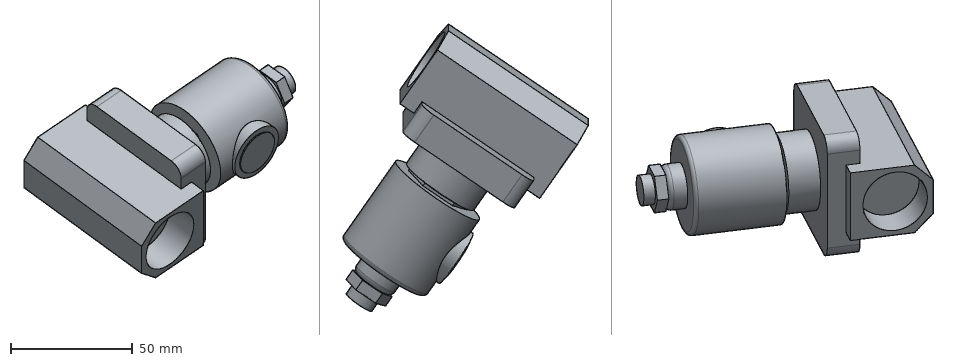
import cadquery as cq
import math

block_length = 70.0
block_depth = 35.3
block_height = 31.8
block_bevel = 8.0
port_diameter = 27.4
port_depth = 14.0
port_center_y = 16.2

flange_side = 56.0
flange_front_y = 29.4
flange_back_y = 43.3
flange_corner_radius = 5.9
neck_diameter = 34.0
neck_back_y = 56.9

gap = 0.3
collar_flats = 25.4
coil_front_y = 58.8
coil_back_y = 98.0
coil_diameter = 42.2
coil_fillet = 1.7
cap_diameter = 19.2
cap_back_y = 106.2
cap_fillet = 2.3
nut_flats = 17.2
nut_back_y = 111.0
stem_diameter = 12.9
overall_depth = 115.9

boss_center_y = 78.0
boss_diameter = 25.0
boss_face_x = 22.5
boss_rim_diameter = 19.5
boss_rim_x = 23.1


def plane_facing_back(y):
    """Workplane at depth y, with local X along X, extruding toward +Y."""
    return cq.Workplane(cq.Plane(origin=(0, y, 0), xDir=(1, 0, 0), normal=(0, 1, 0)))


def cylinder_along_y(diameter, front_y, back_y):
    return plane_facing_back(front_y).circle(diameter / 2).extrude(back_y - front_y)


def hexagon_along_y(flats, front_y, back_y):
    """Hexagonal prism with corners on +X and -X and flats on top and bottom."""
    corner_diameter = flats / math.cos(math.pi / 6)
    return plane_facing_back(front_y).polygon(6, corner_diameter).extrude(back_y - front_y)


def cylinder_along_x(diameter, end_x, y):
    """Cylinder from the X = 0 plane out to end_x."""
    return cq.Workplane("YZ").center(y, 0).circle(diameter / 2).extrude(end_x)


def make_block():
    blank = cq.Workplane("XY").box(block_length, block_depth, block_height, centered=(True, False, True))
    return blank.faces("<Y").edges("|X").chamfer(block_bevel)


def make_port(side):
    """Blind port bore, entering from the -X end (side -1) or the +X end (side 1)."""
    return (
        cq.Workplane("YZ", origin=(side * block_length / 2, port_center_y, 0))
        .circle(port_diameter / 2)
        .extrude(-side * port_depth)
    )


def make_valve_body():
    flange = (
        plane_facing_back(flange_front_y)
        .rect(flange_side, flange_side)
        .extrude(flange_back_y - flange_front_y)
        .edges("|Y")
        .fillet(flange_corner_radius)
    )
    neck = cylinder_along_y(neck_diameter, flange_back_y, neck_back_y)
    body = make_block().union(flange).union(neck)
    for side in (-1, 1):
        body = body.cut(make_port(side))
    return body


def make_solenoid():
    collar = hexagon_along_y(collar_flats, neck_back_y + gap, coil_front_y)
    coil = cylinder_along_y(coil_diameter, coil_front_y, coil_back_y).faces(">Y").edges().fillet(coil_fillet)
    cap = cylinder_along_y(cap_diameter, coil_back_y, cap_back_y).faces(">Y").edges().fillet(cap_fillet)
    nut = hexagon_along_y(nut_flats, cap_back_y, nut_back_y)
    stem = cylinder_along_y(stem_diameter, nut_back_y, overall_depth)

    boss = cylinder_along_x(boss_diameter, boss_face_x, boss_center_y)
    rim = cylinder_along_x(boss_rim_diameter, boss_rim_x, boss_center_y)

    solenoid = coil
    for feature in (collar, cap, nut, stem, boss, rim):
        solenoid = solenoid.union(feature)
    return solenoid


valve_body = make_valve_body()
solenoid = make_solenoid()

result = cq.Compound.makeCompound([valve_body.val(), solenoid.val()])